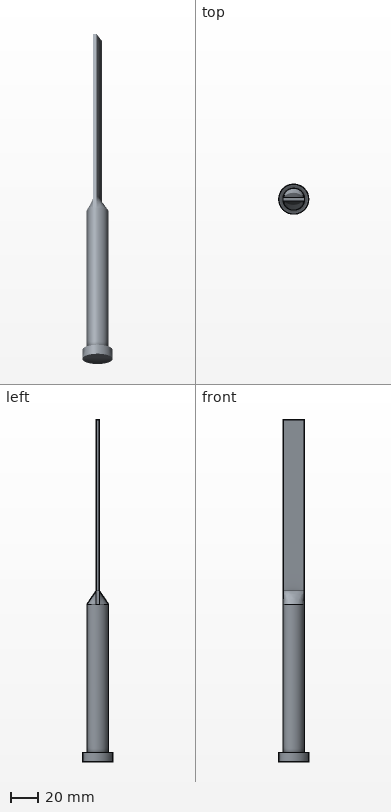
import cadquery as cq
import math

total_length = 250.0
head_diameter = 22.0
head_height = 7.0
shaft_diameter = 16.0
blade_width = 15.5
blade_thickness = 2.5
blade_length = 125.0
transition_length = 10.0

blade_start = total_length - blade_length
shaft_top = blade_start - transition_length
shaft_radius = shaft_diameter / 2
half_width = blade_width / 2
half_thickness = blade_thickness / 2


def make_head():
    return cq.Workplane("XY").circle(head_diameter / 2).extrude(head_height)


def make_shaft():
    return cq.Workplane("XY").circle(shaft_radius).extrude(shaft_top)


def make_transition():
    """Ruled loft from the round shaft to the flat blade.

    The lower outline is the shaft circle with two narrow flats, as wide as the
    blade is thick, so that each of its four edges meets one edge of the blade.
    """
    half_chord = math.sqrt(shaft_radius**2 - half_thickness**2)
    return (
        cq.Workplane("XY", origin=(0, 0, shaft_top))
        .moveTo(-half_chord, -half_thickness)
        .threePointArc((0, -shaft_radius), (half_chord, -half_thickness))
        .lineTo(half_chord, half_thickness)
        .threePointArc((0, shaft_radius), (-half_chord, half_thickness))
        .close()
        .workplane(offset=transition_length)
        .moveTo(-half_width, -half_thickness)
        .lineTo(half_width, -half_thickness)
        .lineTo(half_width, half_thickness)
        .lineTo(-half_width, half_thickness)
        .close()
        .loft(ruled=True, combine=True)
    )


def make_blade():
    return (
        cq.Workplane("XY", origin=(0, 0, blade_start))
        .rect(blade_width, blade_thickness)
        .extrude(blade_length)
    )


result = make_head().union(make_shaft()).union(make_transition()).union(make_blade())